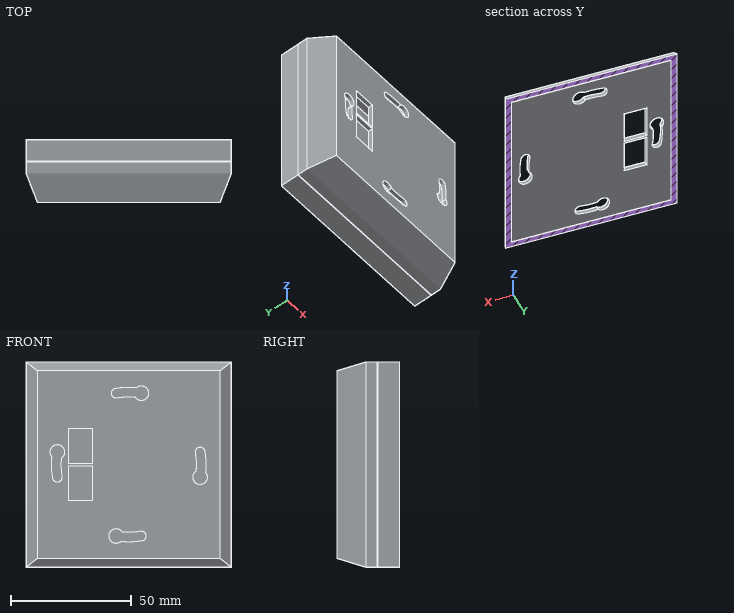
import cadquery as cq
import math

side = 85.0
depth = 26.0

cover_depth = 9.0
cover_gap = 0.2
band_depth = 4.85
housing_depth = depth - cover_depth - cover_gap
taper_depth = housing_depth - band_depth

face_inset_x = 4.7
face_inset_z = 3.65
face_width = side - 2 * face_inset_x
face_height = side - 2 * face_inset_z

wall = 2.0

keyhole_count = 4
keyhole_radius = 30.0
keyhole_half_angle = 10.0
slot_width = 4.0
head_diameter = 6.0

opening_width = 10.0
opening_height = 14.45
opening_bar = 1.0
opening_x = -20.0


def polar(radius, angle):
    """Point on the mounting face at a radius and angle (degrees) from its middle."""
    turn = math.radians(angle)
    return (radius * math.cos(turn), radius * math.sin(turn))


def face_plane(y=0.0):
    """Workplane parallel to the mounting face; negative extrusion goes towards +Y."""
    return cq.Workplane("XZ", origin=(0, y, 0))


def make_shell():
    """Tapered front and straight band, with a straight-sided cavity open at the back."""
    taper = (
        face_plane()
        .rect(face_width, face_height)
        .workplane(offset=-taper_depth)
        .rect(side, side)
        .loft(ruled=True)
    )
    band = face_plane(taper_depth).rect(side, side).extrude(-band_depth)
    cavity = (
        face_plane(wall)
        .rect(face_width - 2 * wall, face_height - 2 * wall)
        .extrude(-(housing_depth - wall))
    )
    return taper.union(band).cut(cavity)


def make_keyhole(middle_angle):
    """Cutter for one keyhole: a curved slot with a round head at its clockwise end."""
    start = middle_angle - keyhole_half_angle
    end = middle_angle + keyhole_half_angle
    inner = keyhole_radius - slot_width / 2
    outer = keyhole_radius + slot_width / 2
    end_centre = polar(keyhole_radius, end)
    tangent = polar(slot_width / 2, end + 90)
    end_tip = (end_centre[0] + tangent[0], end_centre[1] + tangent[1])
    slot = (
        face_plane()
        .moveTo(*polar(inner, start))
        .lineTo(*polar(outer, start))
        .threePointArc(polar(outer, middle_angle), polar(outer, end))
        .threePointArc(end_tip, polar(inner, end))
        .threePointArc(polar(inner, middle_angle), polar(inner, start))
        .close()
        .extrude(-wall)
    )
    head = (
        face_plane()
        .center(*polar(keyhole_radius, start))
        .circle(head_diameter / 2)
        .extrude(-wall)
    )
    return slot.union(head)


def make_cable_openings():
    """Cutter for the two openings, separated by a thin bar at mid-height."""
    opening_z = (opening_bar + opening_height) / 2
    return (
        face_plane()
        .pushPoints([(opening_x, opening_z), (opening_x, -opening_z)])
        .rect(opening_width, opening_height)
        .extrude(-wall)
    )


def make_housing():
    """Hollow housing with its keyholes and cable openings through the mounting plate."""
    housing = make_shell().cut(make_cable_openings())
    for index in range(keyhole_count):
        housing = housing.cut(make_keyhole(index * 360 / keyhole_count))
    return housing


def make_cover():
    """Plain square cover behind the housing, set off by the parting gap."""
    return face_plane(housing_depth + cover_gap).rect(side, side).extrude(-cover_depth)


housing = make_housing()
cover = make_cover()

result = cq.Compound.makeCompound([housing.val(), cover.val()])